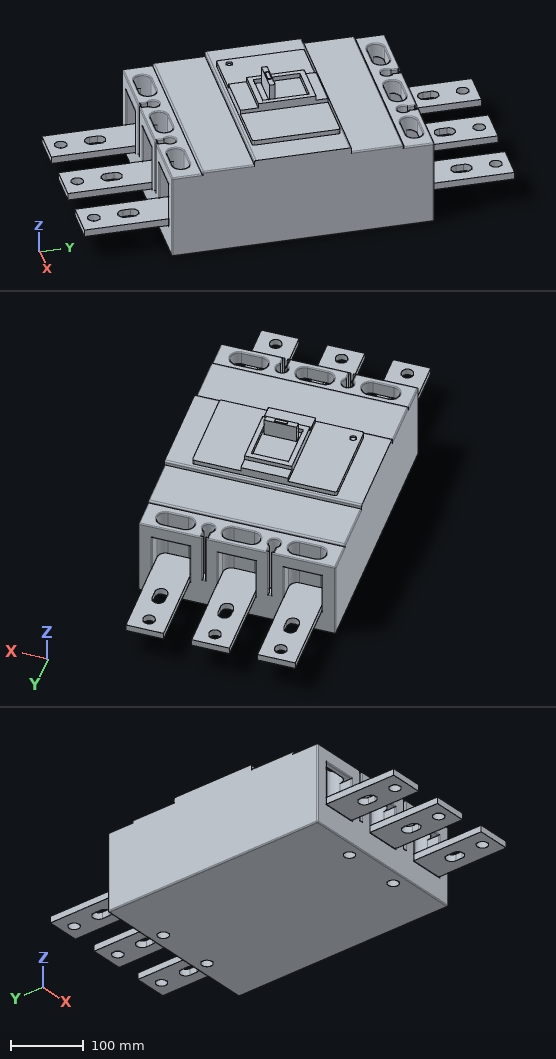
import cadquery as cq


OVERLAP = 1.0

HOUSING_WIDTH = 284.0
HOUSING_LENGTH = 370.5
END_TOP = 127.5
SHOULDER_TOP = 131.0
SHOULDER_LENGTH = 285.5
CENTRE_TOP = 138.5
CENTRE_LENGTH = 137.0
EDGE_RADIUS = 2.0
STEP_RADIUS = 2.5

POLE_PITCH = 95.0
POLE_POSITIONS = (-POLE_PITCH, 0, POLE_PITCH)
BARRIER_POSITIONS = (-POLE_PITCH / 2, POLE_PITCH / 2)
ENDS = (-1, 1)
OVERALL_LENGTH = 607.5
BAR_WIDTH = 54.5
BAR_BOTTOM = 38.0
BAR_THICKNESS = 11.0
BAR_HOLE_DIAMETER = 17.0
BAR_HOLE_Y = 283.5
BAR_SLOT_WIDTH = 18.0
BAR_SLOT_LENGTH = 29.0
BAR_SLOT_Y = 235.0

WELL_Y = 164.5
WELL_LENGTH = 54.0
WELL_WIDTH = 24.0
WINDOW_WIDTH = 54.0
WINDOW_TOP = 106.0
MOUTH_RADIUS = 1.5

MOUNT_HOLE_DIAMETER = 17.0
BARRIER_SLOT_BOTTOM = 47.5
BARRIER_MOUTH_WIDTH = 3.5
BARRIER_SLOT_WIDTH = 9.0
BARRIER_LIP = 3.5

PLATE_WIDTH = 208.0
PLATE_LENGTH = 124.0
PLATE_TOP = 146.0
PLATE_CORNER_RADIUS = 3.0
SURROUND_WIDTH = 68.0
SURROUND_STEP_TOP = 152.0
PLATFORM_TOP = 158.5
PLATFORM_LENGTH = 81.5
PLATFORM_Y = 4.0
RECESS_WIDTH = 53.5
RECESS_LENGTH = 65.5
RECESS_DEPTH = 6.5
BUTTON_X = -93.0
BUTTON_Y = -46.0
BUTTON_DIAMETER = 9.0
BUTTON_DEPTH = 3.0

TOGGLE_WIDTH = 47.0
TOGGLE_THICKNESS = 8.0
TOGGLE_Y = -14.0
TOGGLE_TOP = 179.0
MARK_WIDTH = 17.5
MARK_THICKNESS = 5.5
OVERALL_HEIGHT = 180.5


def block(width, length, bottom, top, x=0, y=0):
    """Upright box centred on (x, y) between two heights."""
    return (
        cq.Workplane("XY", origin=(x, y, bottom))
        .rect(width, length)
        .extrude(top - bottom)
    )


def housing():
    """Stepped housing with rounded step crests and side edges; its end faces are still sharp."""
    ends = block(HOUSING_WIDTH, HOUSING_LENGTH, 0, END_TOP)
    shoulder = block(HOUSING_WIDTH, SHOULDER_LENGTH, 0, SHOULDER_TOP)
    shoulder = shoulder.faces(">Z").edges("|X").fillet(STEP_RADIUS)
    centre = block(HOUSING_WIDTH, CENTRE_LENGTH, EDGE_RADIUS, CENTRE_TOP)
    centre = centre.faces(">Z").edges("|X").fillet(STEP_RADIUS)
    body = ends.union(shoulder).clean()
    body = body.faces("<X or >X").edges().fillet(EDGE_RADIUS)
    return body.union(centre)


def cut_terminal_wells(body):
    """Obround wells from the top and windows from the ends, meeting above each bar."""
    end_y = HOUSING_LENGTH / 2
    window_depth = end_y - WELL_Y
    window_y = (end_y + WELL_Y) / 2
    for end in ENDS:
        well_points = [(x, end * WELL_Y) for x in POLE_POSITIONS]
        wells = (
            cq.Workplane("XY", origin=(0, 0, END_TOP))
            .pushPoints(well_points)
            .slot2D(WELL_LENGTH, WELL_WIDTH)
            .extrude(BAR_BOTTOM - END_TOP)
        )
        body = body.cut(wells)
        for x in POLE_POSITIONS:
            window = block(WINDOW_WIDTH, window_depth, BAR_BOTTOM, WINDOW_TOP, x, end * window_y)
            body = body.cut(window)
    return body


def cut_mounting_holes(body):
    """Through holes between the poles."""
    points = [(x, end * WELL_Y) for x in BARRIER_POSITIONS for end in ENDS]
    holes = (
        cq.Workplane("XY")
        .pushPoints(points)
        .circle(MOUNT_HOLE_DIAMETER / 2)
        .extrude(OVERALL_HEIGHT)
    )
    return body.cut(holes)


def cut_barrier_slots(body):
    """T-shaped slots running from each end face into the mounting holes."""
    end_y = HOUSING_LENGTH / 2
    lip_y = end_y - BARRIER_LIP
    slot_length = lip_y - WELL_Y
    slot_y = (lip_y + WELL_Y) / 2
    for end in ENDS:
        for x in BARRIER_POSITIONS:
            inner = block(BARRIER_SLOT_WIDTH, slot_length, BARRIER_SLOT_BOTTOM, END_TOP, x, end * slot_y)
            mouth = block(
                BARRIER_MOUTH_WIDTH, 2 * BARRIER_LIP, BARRIER_SLOT_BOTTOM, END_TOP, x, end * end_y
            )
            body = body.cut(inner.union(mouth))
    return body


def round_ends(body):
    """Round the end faces and every rim of the wells, windows, holes and slots."""
    half_width = HOUSING_WIDTH / 2 - 2 * EDGE_RADIUS
    for end in ENDS:
        end_top = cq.selectors.BoxSelector(
            (-half_width, end * (SHOULDER_LENGTH / 2 + EDGE_RADIUS), END_TOP - EDGE_RADIUS),
            (half_width, end * HOUSING_LENGTH, END_TOP + EDGE_RADIUS),
        )
        top_rims = body.faces("|Z").edges(end_top)
        end_edges = body.faces(">Y" if end > 0 else "<Y").edges()
        body = end_edges.add(top_rims).fillet(MOUTH_RADIUS)
    return body


def terminal_bar(x, end):
    """Flat terminal from the inner wall of its well to beyond the housing."""
    inner_y = WELL_Y - WELL_WIDTH / 2 - OVERLAP
    outer_y = OVERALL_LENGTH / 2
    bar_top = BAR_BOTTOM + BAR_THICKNESS
    bar_y = end * (outer_y + inner_y) / 2
    bar = block(BAR_WIDTH, outer_y - inner_y, BAR_BOTTOM, bar_top, x, bar_y)
    hole = (
        cq.Workplane("XY", origin=(x, end * BAR_HOLE_Y, BAR_BOTTOM))
        .circle(BAR_HOLE_DIAMETER / 2)
        .extrude(BAR_THICKNESS)
    )
    slot = (
        cq.Workplane("XY", origin=(x, end * BAR_SLOT_Y, BAR_BOTTOM))
        .slot2D(BAR_SLOT_LENGTH, BAR_SLOT_WIDTH, 90)
        .extrude(BAR_THICKNESS)
    )
    return bar.cut(hole).cut(slot)


def front_plate():
    """Raised plate with the stepped toggle surround, its recess and a button hole."""
    base = CENTRE_TOP - OVERLAP
    plate = block(PLATE_WIDTH, PLATE_LENGTH, base, PLATE_TOP)
    plate = plate.edges("|Z").fillet(PLATE_CORNER_RADIUS)
    plate = plate.union(block(SURROUND_WIDTH, PLATE_LENGTH, base, SURROUND_STEP_TOP))
    plate = plate.union(
        block(SURROUND_WIDTH, PLATFORM_LENGTH, base, PLATFORM_TOP, y=PLATFORM_Y)
    )
    recess = block(
        RECESS_WIDTH, RECESS_LENGTH, PLATFORM_TOP - RECESS_DEPTH, PLATFORM_TOP, y=PLATFORM_Y
    )
    button = (
        cq.Workplane("XY", origin=(BUTTON_X, BUTTON_Y, PLATE_TOP - BUTTON_DEPTH))
        .circle(BUTTON_DIAMETER / 2)
        .extrude(BUTTON_DEPTH)
    )
    return plate.cut(recess).cut(button)


def toggle():
    """Upright lever blade with a raised mark on its tip."""
    lever = block(TOGGLE_WIDTH, TOGGLE_THICKNESS, PLATE_TOP, TOGGLE_TOP, y=TOGGLE_Y)
    mark = block(MARK_WIDTH, MARK_THICKNESS, TOGGLE_TOP, OVERALL_HEIGHT, y=TOGGLE_Y)
    return lever.union(mark)


result = housing()
result = cut_terminal_wells(result)
result = cut_mounting_holes(result)
result = cut_barrier_slots(result)
result = round_ends(result)
for end_side in ENDS:
    for pole_x in POLE_POSITIONS:
        result = result.union(terminal_bar(pole_x, end_side))
result = result.union(front_plate()).union(toggle())